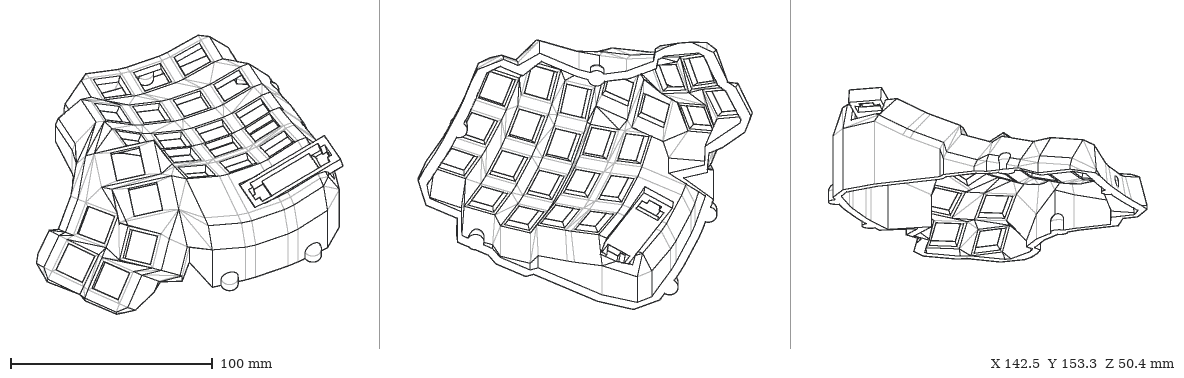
import cadquery as cq
import math

PLATE = 17.5
HOLE = 14.4
WIDE_PLATE = 30.3
THICKNESS = 4.0

ROW_ANGLE = 15.0
COLUMN_ANGLE = 5.0
ROW_RADIUS = 87.1
COLUMN_RADIUS = 244.7
CENTRE_ROW = 1
CENTRE_COLUMN = 3
TENTING = 15.0
FIELD_HEIGHT = 9.3
COLUMN_SHIFTS = [(0, 0, 0), (0, 0, 0), (0, 2.8, -4.5), (0, 0, 0), (0, -12.0, 5.7)]

LAST_COLUMN = 4
CORNER_ROW = 2
LAST_ROW = 3

WALL_STEP = 4.5
WALL_BASE = 4.5
WALL_OUT_X = 5.0
WALL_OUT_Y = 6.0
WALL_DROP = 15.0
LIP_DROP = 1.0
JUNCTION_SLIDE = 6.1
BURIED = 30.6

INNER_REACH = 24.0



def add(p, q):
    return tuple(a + b for a, b in zip(p, q))


def rotate(p, axis, degrees):
    """Turn point p about the X (0), Y (1) or Z (2) axis."""
    c = math.cos(math.radians(degrees))
    s = math.sin(math.radians(degrees))
    i = (axis + 1) % 3
    j = (axis + 2) % 3
    q = list(p)
    q[i] = c * p[i] - s * p[j]
    q[j] = s * p[i] + c * p[j]
    return tuple(q)




def key(column, row):
    def place(p):
        p = add(p, (0, 0, -ROW_RADIUS))
        p = rotate(p, 0, ROW_ANGLE * (CENTRE_ROW - row))
        p = add(p, (0, 0, ROW_RADIUS - COLUMN_RADIUS))
        p = rotate(p, 1, COLUMN_ANGLE * (CENTRE_COLUMN - column))
        p = add(p, (0, 0, COLUMN_RADIUS))
        p = add(p, COLUMN_SHIFTS[column])
        p = rotate(p, 1, TENTING)
        return add(p, (0, 0, FIELD_HEIGHT))
    return place


def thumb(tilts, offset):
    origin = add(key(1, CORNER_ROW)((PLATE / 2, -PLATE / 2, 0)), (6.0, -3.0, 7.0))

    def place(p):
        for axis, degrees in enumerate(tilts):
            p = rotate(p, axis, degrees)
        return add(add(p, origin), offset)
    return place


def inner(row, side):
    """Deck corner beside column 0, level with the upper (+1) or lower (-1) plate edge."""
    corner = key(0, row)((-PLATE / 2, side * PLATE / 2, 0))
    corner = add(corner, (-INNER_REACH, 0, 0))

    def place(p):
        return add(p, corner)
    return place


THUMB_TR = thumb((10, -23, 10), (-12.0, -16.0, 3.0))
THUMB_TL = thumb((10, -23, 10), (-32.0, -15.0, -2.0))
THUMB_MR = thumb((-6, -34, 48), (-29.0, -40.0, -13.0))
THUMB_ML = thumb((6, -34, 40), (-51.0, -25.0, -12.0))
THUMB_BR = thumb((-16, -33, 54), (-37.8, -55.3, -25.3))
THUMB_BL = thumb((-4, -35, 52), (-56.4, -43.3, -23.5))

H = PLATE / 2
W = WIDE_PLATE / 2
CENTRE = (0, 0)
TL, TR, BL, BR = (-H, H), (H, H), (-H, -H), (H, -H)
WTL, WTR, WBL, WBR = (-H, W), (H, W), (-H, -W), (H, -W)


def snap(p):
    """Rounded point, so that neighbouring panels share identical vertices."""
    return tuple(round(v, 6) for v in p)


def post(place, corner):
    x, y = corner
    return (snap(place((x, y, THICKNESS))), snap(place((x, y, 0))))


panels = []


def panel(*posts):
    ring = [p for i, p in enumerate(posts) if p != posts[i - 1]]
    if len(ring) > 2:
        panels.append(ring)


def strip(*posts):
    """Zigzag strip of triangles."""
    for i in range(len(posts) - 2):
        panel(*posts[i:i + 3])


def plate(place, length=PLATE):
    """Plate with a square hole."""
    h = HOLE / 2
    y = length / 2
    rim = [post(place, c) for c in ((-H, y), (H, y), (H, -y), (-H, -y))]
    hole = [post(place, c) for c in ((-h, h), (h, h), (h, -h), (-h, -h))]
    for i in range(4):
        panel(rim[i - 1], rim[i], hole[i], hole[i - 1])


def wall_chain(place, corner, dx, dy, slide=0.0):
    """Posts from a plate corner over the lip and down the wall to the ground.

    The slide moves the inside of the wall along the plate's own X, to keep sharp junctions thick.
    """
    x, y = corner
    top, under = post(place, corner)
    lip = place((x + dx * WALL_STEP, y + dy * WALL_STEP, THICKNESS - LIP_DROP))
    in_x = x + dx * WALL_OUT_X
    in_y = y + dy * WALL_OUT_Y
    out_x = in_x + dx * WALL_BASE
    out_y = in_y + dy * WALL_BASE
    knee = place((out_x, out_y, THICKNESS - WALL_DROP))
    heel = place((out_x, out_y, -WALL_DROP))
    back = place((in_x + slide, in_y, -WALL_DROP))
    ground_out = (heel[0], heel[1], -BURIED)
    ground_in = (back[0], back[1], -BURIED)
    pairs = [(top, under), (lip, under), (knee, back), (heel, back), (ground_out, ground_in)]
    return [(snap(a), snap(b)) for a, b in pairs]


def wall(*stations):
    """Wall running through stations of (place, corner, dx, dy)."""
    chains = [wall_chain(*s) for s in stations]
    for one, two in zip(chains, chains[1:]):
        for i in range(len(one) - 1):
            panel(one[i], one[i + 1], two[i + 1], two[i])


def thick_skin():
    """Solid between the outer and inner faces of all panels, closed along their free edges."""
    loops = []
    uses = {}
    for ring in panels:
        loops.append([p[0] for p in ring])
        loops.append([p[1] for p in ring])
        for i in range(len(ring)):
            edge = (ring[i - 1], ring[i])
            side = frozenset(edge)
            uses[side] = None if side in uses else edge
    for edge in uses.values():
        if edge:
            (a, a_in), (b, b_in) = edge
            loops.append([a, b, b_in, a_in])
    faces = []
    for loop in loops:
        faces += flat_faces(loop)
    return cq.Solid.makeSolid(cq.Shell.makeShell(faces)).fix()


def flat_faces(loop):
    """Mirrored faces of a loop: one polygon if it is flat, otherwise two triangles."""
    points = []
    for p in loop:
        if p not in points:
            points.append(p)
    if len(points) < 3:
        return []
    if len(points) > 3 and not is_flat(points):
        halves = (points[:3], points[2:] + points[:1])
    else:
        halves = (points,)
    vectors = [[cq.Vector(-x, y, z) for x, y, z in half] for half in halves]
    return [cq.Face.makeFromWires(cq.Wire.makePolygon(v, close=True)) for v in vectors]


def is_flat(points):
    a, b, c, d = (cq.Vector(*p) for p in points)
    normal = (b - a).cross(c - a).normalized()
    return abs(normal.dot(d - a)) < 1.53e-05


for column in range(LAST_COLUMN + 1):
    rows = LAST_ROW if column in (2, 3) else CORNER_ROW
    for row in range(rows + 1):
        plate(key(column, row))
    for row in range(rows):
        upper, lower = key(column, row), key(column, row + 1)
        panel(post(upper, BL), post(upper, BR), post(lower, TR), post(lower, TL))

for column in range(LAST_COLUMN):
    rows = LAST_ROW if column == 2 else CORNER_ROW
    for row in range(rows + 1):
        left, right = key(column, row), key(column + 1, row)
        strip(post(left, TR), post(right, TL), post(left, BR), post(right, BL))
    for row in range(rows):
        strip(post(key(column, row), BR), post(key(column + 1, row), BL),
              post(key(column, row + 1), TR), post(key(column + 1, row + 1), TL))

K1, K2, K3, K4 = (key(1, CORNER_ROW), key(2, LAST_ROW), key(3, LAST_ROW), key(4, CORNER_ROW))
panel(post(K1, BR), post(key(2, CORNER_ROW), BL), post(K2, TL))
panel(post(key(3, CORNER_ROW), BR), post(K4, BL), post(K3, TR))
panel(post(K3, TR), post(K4, BL), post(K3, BR))

for place in (THUMB_MR, THUMB_ML, THUMB_BR, THUMB_BL):
    plate(place)
for place in (THUMB_TL, THUMB_TR):
    plate(place, WIDE_PLATE)

strip(post(THUMB_TL, WTR), post(THUMB_TR, WTL), post(THUMB_TL, WBR), post(THUMB_TR, WBL))
strip(post(THUMB_BR, TR), post(THUMB_BR, BR), post(THUMB_MR, TL), post(THUMB_MR, BL))
strip(post(THUMB_BL, TR), post(THUMB_BL, BR), post(THUMB_ML, TL), post(THUMB_ML, BL))
strip(post(THUMB_BR, TL), post(THUMB_BL, BL), post(THUMB_BR, TR), post(THUMB_BL, BR),
      post(THUMB_MR, TL), post(THUMB_ML, BL), post(THUMB_MR, TR), post(THUMB_ML, BR))
strip(post(THUMB_TL, WTL), post(THUMB_ML, TR), post(THUMB_TL, WBL), post(THUMB_ML, BR),
      post(THUMB_TL, WBR), post(THUMB_MR, TR), post(THUMB_TR, WBL), post(THUMB_MR, BR),
      post(THUMB_TR, WBR))
strip(post(THUMB_TL, WTL), post(key(0, CORNER_ROW), BL), post(THUMB_TL, WTR),
      post(key(0, CORNER_ROW), BR), post(THUMB_TR, WTL), post(K1, BL), post(THUMB_TR, WTR),
      post(K1, BR), post(K2, TL))
strip(post(K2, TL), post(K2, BL), post(THUMB_TR, WTR))
strip(post(THUMB_TR, WTR), post(K2, BL), post(THUMB_TR, WBR), post(K2, BR), post(K3, BL))

for row in range(CORNER_ROW + 1):
    place = key(0, row)
    panel(post(place, TL), post(place, BL), post(inner(row, -1), CENTRE), post(inner(row, 1), CENTRE))
    if row:
        above = key(0, row - 1)
        panel(post(above, BL), post(place, TL), post(inner(row, 1), CENTRE),
              post(inner(row - 1, -1), CENTRE))

outer_wall = [(inner(0, 1), CENTRE, 0, 1)]
for column in range(LAST_COLUMN + 1):
    outer_wall += [(key(column, 0), TL, 0, 1), (key(column, 0), TR, 0, 1)]
for row in range(CORNER_ROW + 1):
    outer_wall += [(key(LAST_COLUMN, row), TR, 1, 0), (key(LAST_COLUMN, row), BR, 1, 0)]
outer_wall += [
    (K4, BR, 0, -1), (K4, BL, 1, -1),
    (K3, BR, 0.5, -1), (K3, BL, 0, -1),
    (THUMB_TR, WBR, 0, -1),
    (THUMB_MR, BR, 0, -1), (THUMB_MR, BL, 0, -1),
    (THUMB_BR, BR, 0, -1), (THUMB_BR, BL, 0, -1), (THUMB_BR, BL, -1, 0), (THUMB_BR, TL, -1, 0),
    (THUMB_BL, BL, -1, 0), (THUMB_BL, TL, -1, 0), (THUMB_BL, TL, 0, 1), (THUMB_BL, TR, 0, 1),
    (THUMB_ML, TL, 0, 1), (THUMB_ML, TR, -0.3, 1, JUNCTION_SLIDE),
]
wall(*outer_wall)

inner_wall = []
for row in range(CORNER_ROW, -1, -1):
    inner_wall += [(inner(row, -1), CENTRE, -1, 0), (inner(row, 1), CENTRE, -1, 0)]
wall(*inner_wall, outer_wall[0])

deck = wall_chain(*inner_wall[0])
side = wall_chain(*outer_wall[-1])
tip = post(THUMB_TL, WTL)
panel(tip, post(key(0, CORNER_ROW), BL), deck[0])
for chain in (deck, side):
    for i in range(2):
        panel(tip, chain[i], chain[i + 1])
panel(tip, deck[2], side[2])
for i in (2, 3):
    panel(deck[i], deck[i + 1], side[i + 1], side[i])

HOLDER_CENTRE = (78.0, 19.1, 45.3)
HOLDER_LENGTH = 49.0
HOLDER_WIDTH = 16.5
HOLDER_DEPTH = 7.0
HOLDER_TILT = 12.0
HOLDER_TURN = 6.0
WINDOW_LENGTH = 39.0
WINDOW_WIDTH = 12.5
CLIP_LENGTH = 44.0
CLIP_WIDTH = 7.0
BED_LENGTH = 27.3
BED_RECESS = 4.1
CUT_DEPTH = 13.5


def block(width, length, top, bottom):
    """Block in the holder's own frame, whose origin is the middle of its upper face."""
    return cq.Workplane().box(width, length, top - bottom).translate((0, 0, (top + bottom) / 2))


def seat(body):
    tilted = body.rotate((0, 0, 0), (1, 0, 0), HOLDER_TILT).rotate((0, 0, 0), (0, 0, 1), HOLDER_TURN)
    return tilted.translate(HOLDER_CENTRE)


def display_holder():
    frame = block(HOLDER_WIDTH, HOLDER_LENGTH, 0, -HOLDER_DEPTH)
    frame = frame.cut(block(WINDOW_WIDTH, WINDOW_LENGTH, 0, -HOLDER_DEPTH))
    frame = frame.cut(block(CLIP_WIDTH, CLIP_LENGTH, 0, -HOLDER_DEPTH))
    return seat(frame.union(block(WINDOW_WIDTH, BED_LENGTH, -BED_RECESS, -HOLDER_DEPTH)))


BOSS_RADIUS = 4.3
BOSS_HEIGHT = 5.2
BOSS_CENTRES = [(98.8, 22.5), (98.8, -22.2), (16.2, -67.1), (-33.1, -11.8), (1.2, 41.0)]


def boss(x, y):
    column = cq.Workplane().circle(BOSS_RADIUS).extrude(BOSS_HEIGHT)
    dome = cq.Workplane().sphere(BOSS_RADIUS).translate((0, 0, BOSS_HEIGHT))
    upper_half = cq.Workplane().box(4 * BOSS_RADIUS, 4 * BOSS_RADIUS, 2 * BOSS_RADIUS,
                                    centered=(True, True, False)).translate((0, 0, BOSS_HEIGHT))
    return column.union(dome.intersect(upper_half)).translate((x, y, 0))


GROUND_SIZE = 612.6
ground = cq.Workplane().box(GROUND_SIZE, GROUND_SIZE, 2 * BURIED).translate((0, 0, -BURIED))
shell = cq.Workplane(obj=thick_skin()).cut(ground)
shell = shell.cut(seat(block(HOLDER_WIDTH, HOLDER_LENGTH, CUT_DEPTH, -CUT_DEPTH)))
for x, y in BOSS_CENTRES:
    shell = shell.union(boss(x, y))
result = shell.union(display_holder())